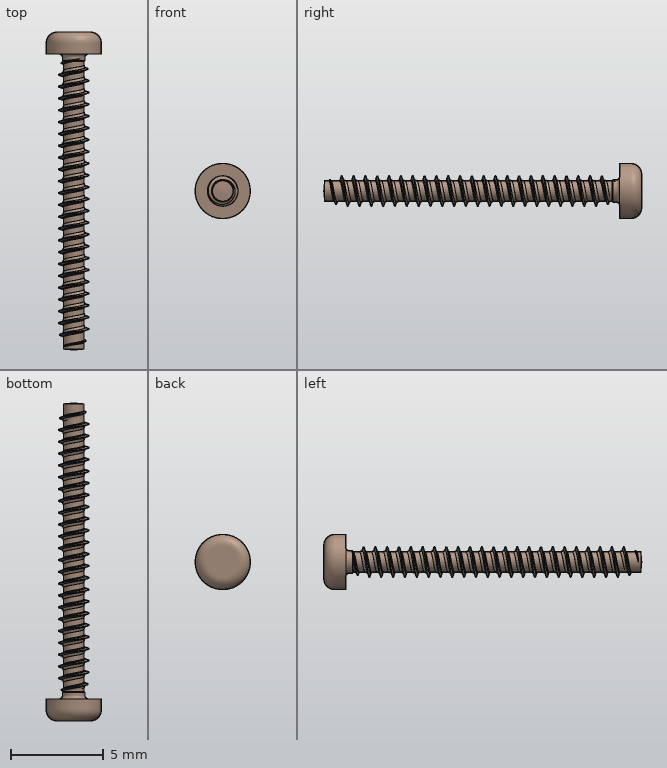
import cadquery as cq
import math

total_length = 17.2
head_diameter = 3.0
head_height = 1.2
crown_radius = 0.6
rim_fillet = 0.03
shank_length = total_length - head_height

neck_diameter = 1.22
neck_radius = neck_diameter / 2
neck_length = 0.35
neck_fillet = 0.17
neck_step = 0.05

root_diameter = 1.12
root_radius = root_diameter / 2
tip_cone_height = 0.05

crest_radius = 0.83
crest_width = 0.02
flare_radius = 0.62
flare_width = 0.14
tip_side_reach = 0.12
head_side_reach = 0.22
sunk_depth = 0.02

first_crest_depth = 0.79
last_crest_depth = 15.5
turns_between_crests = 23
pitch = (last_crest_depth - first_crest_depth) / turns_between_crests

rise_start_depth = 0.05
full_start_depth = 0.96
full_end_depth = 15.05
fade_end_depth = 15.84
run_out_narrowing = 0.7

sunk_radius = root_radius - sunk_depth


def sunk_reach(reach):
    """Reach of a foot flank where it ends at the sunk radius."""
    return reach + (reach - flare_width / 2) * sunk_depth / (flare_radius - root_radius)


full_profile = [
    (sunk_radius, -sunk_reach(tip_side_reach)),
    (flare_radius, -flare_width / 2),
    (crest_radius, -crest_width / 2),
    (crest_radius, crest_width / 2),
    (flare_radius, flare_width / 2),
    (sunk_radius, sunk_reach(head_side_reach)),
]


def make_body():
    """Head, neck and plain core as one revolved outline (radius, height)."""
    head_radius = head_diameter / 2
    bow = math.sqrt(0.5)
    outline = (
        cq.Workplane("XZ")
        .moveTo(0, head_height)
        .lineTo(head_radius - crown_radius, head_height)
        .threePointArc(
            (head_radius - crown_radius * (1 - bow), head_height - crown_radius * (1 - bow)),
            (head_radius, head_height - crown_radius),
        )
        .lineTo(head_radius, rim_fillet)
        .threePointArc(
            (head_radius - rim_fillet * (1 - bow), rim_fillet * (1 - bow)),
            (head_radius - rim_fillet, 0),
        )
        .lineTo(neck_radius + neck_fillet, 0)
        .threePointArc(
            (neck_radius + neck_fillet * (1 - bow), -neck_fillet * (1 - bow)),
            (neck_radius, -neck_fillet),
        )
        .lineTo(neck_radius, -neck_length)
        .lineTo(root_radius, -neck_length - neck_step)
        .lineTo(root_radius, -shank_length + tip_cone_height)
        .lineTo(0, -shank_length)
        .close()
    )
    return outline.revolve(360, (0, 0, 0), (0, 1, 0)).val()


def shrunk(profile):
    """Flattened and narrowed copy of the profile that stays below the core surface."""
    flattening = sunk_depth / 2 / (crest_radius - sunk_radius)
    return [
        (sunk_radius + (radius - sunk_radius) * flattening, offset * run_out_narrowing)
        for radius, offset in profile
    ]


def helix_edge(low_depth, high_depth, low_corner, high_corner):
    """Helix of one profile corner, climbing from low_depth to high_depth."""
    low_radius, low_offset = low_corner
    high_radius, high_offset = high_corner
    turns = (low_depth - high_depth) / pitch
    rise = low_depth - high_depth + high_offset - low_offset
    if high_radius == low_radius:
        wire = cq.Wire.makeHelix(rise / turns, rise, low_radius)
    else:
        taper = math.atan2(high_radius - low_radius, rise)
        slope = rise / math.cos(taper)
        wire = cq.Wire.makeHelix(slope / turns, slope, low_radius, angle=math.degrees(taper))
    phase = 360 * (first_crest_depth - low_depth) / pitch
    turned = wire.rotate(cq.Vector(0, 0, 0), cq.Vector(0, 0, 1), phase)
    return turned.translate(cq.Vector(0, 0, low_offset - low_depth)).Edges()[0]


def thread_helices(low_depth, high_depth, low_profile, high_profile):
    corners = zip(low_profile, high_profile)
    return [helix_edge(low_depth, high_depth, low, high) for low, high in corners]


def ruled_faces(helices):
    """Faces ruled between neighbouring corner helices, all around the profile."""
    neighbours = zip(helices, helices[1:] + helices[:1])
    return [cq.Face.makeRuledSurface(first, second) for first, second in neighbours]


def end_cap(helices, end):
    corners = [helix.positionAt(end) for helix in helices]
    return cq.Face.makeFromWires(cq.Wire.makePolygon(corners, close=True))


def make_thread():
    """Single ridge that rises out of the neck, runs full and fades out near the tip."""
    flat_profile = shrunk(full_profile)
    fade = thread_helices(fade_end_depth, full_end_depth, flat_profile, full_profile)
    full = thread_helices(full_end_depth, full_start_depth, full_profile, full_profile)
    rise = thread_helices(full_start_depth, rise_start_depth, full_profile, flat_profile)
    faces = ruled_faces(fade) + ruled_faces(full) + ruled_faces(rise)
    faces += [end_cap(fade, 0), end_cap(rise, 1)]
    return cq.Solid.makeSolid(cq.Shell.makeShell(faces)).fix()


screw = make_body().fuse(make_thread()).Solids()[0]
result = cq.Workplane(screw).rotate((0, 0, 0), (1, 0, 0), -90)